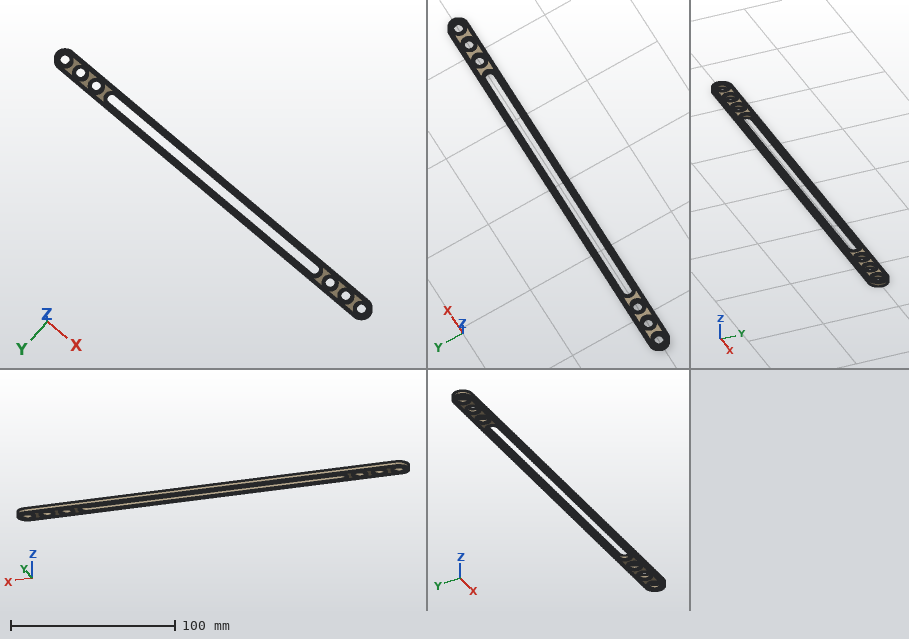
import cadquery as cq

PITCH = 12.5
PITCH_COUNT = 20
HOLES_PER_END = 3
HOLE_DIAMETER = 7.0
RIM_WIDTH = 1.1
RECESS_DEPTH = 0.2
EDGE_CHAMFER = 0.3

LENGTH = PITCH_COUNT * PITCH
WIDTH = PITCH
THICKNESS = PITCH / 4
TOP = THICKNESS / 2
BOTTOM = -TOP
RIM_DIAMETER = HOLE_DIAMETER + 2 * RIM_WIDTH
RECESS_WIDTH = WIDTH - 2 * RIM_WIDTH
END_CENTER = (LENGTH - WIDTH) / 2
SLOT_END_CENTER = END_CENTER - HOLES_PER_END * PITCH
HOLE_CENTERS = [
    (side * (END_CENTER - index * PITCH), 0)
    for side in (-1, 1)
    for index in range(HOLES_PER_END)
]


def round_ended_prism(end_center, width, base, height):
    """Upright prism along X whose round ends are centred at +/- end_center."""
    plane = cq.Workplane("XY", origin=(0, 0, base))
    return plane.slot2D(2 * end_center + width, width).extrude(height)


def discs_at_holes(diameter, base, height):
    """One upright disc on the axis of every hole."""
    plane = cq.Workplane("XY", origin=(0, 0, base))
    return plane.pushPoints(HOLE_CENTERS).circle(diameter / 2).extrude(height)


def make_plate():
    """Full-thickness bar with its slot and holes; every top and bottom edge is chamfered."""
    plate = round_ended_prism(END_CENTER, WIDTH, BOTTOM, THICKNESS)
    plate = plate.cut(round_ended_prism(SLOT_END_CENTER, HOLE_DIAMETER, BOTTOM, THICKNESS))
    plate = plate.cut(discs_at_holes(HOLE_DIAMETER, BOTTOM, THICKNESS))
    return plate.faces("|Z").edges().chamfer(EDGE_CHAMFER)


def make_recess(base):
    """Shallow recess inside the outer rim, leaving the rims of the slot and holes standing."""
    recess = round_ended_prism(END_CENTER, RECESS_WIDTH, base, RECESS_DEPTH)
    recess = recess.cut(round_ended_prism(SLOT_END_CENTER, RIM_DIAMETER, base, RECESS_DEPTH))
    return recess.cut(discs_at_holes(RIM_DIAMETER, base, RECESS_DEPTH))


result = make_plate()
for recess_base in (BOTTOM, TOP - RECESS_DEPTH):
    result = result.cut(make_recess(recess_base))